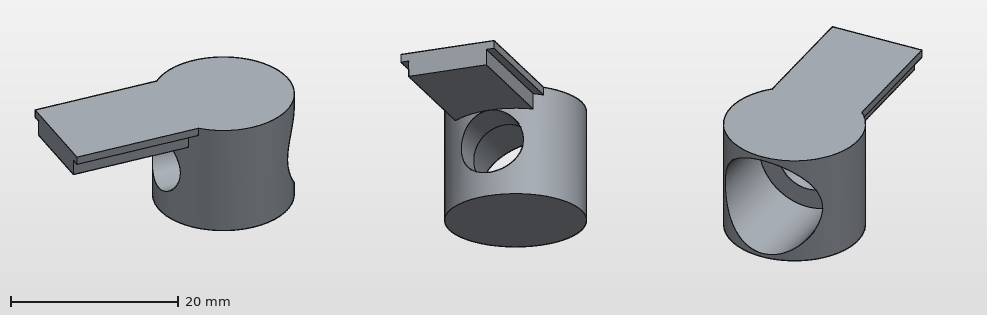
import cadquery as cq

body_diameter = 17.0
body_height = 14.0
overall_length = 30.5

arm_width = 12.0
arm_lip_thickness = 1.0
rib_width = 10.0
arm_depth = 3.0

bore_diameter = 8.0
counterbore_diameter = 13.0
counterbore_depth = 12.0

body_radius = body_diameter / 2
arm_reach = overall_length - body_radius
bore_height = body_height / 2
counterbore_floor_y = body_radius - counterbore_depth


def arm_bar(width, depth):
    """Bar from the body axis to the arm tip, hanging down from the top face."""
    return (
        cq.Workplane("XY", origin=(0, -arm_reach / 2, body_height))
        .rect(width, arm_reach)
        .extrude(-depth)
    )


def bore_cutter(diameter, start_y):
    """Cylinder along Y from start_y to the rear of the body."""
    return (
        cq.Workplane("XZ", origin=(0, start_y, bore_height))
        .circle(diameter / 2)
        .extrude(-(body_radius - start_y))
    )


body = cq.Workplane("XY").circle(body_radius).extrude(body_height)
arm = arm_bar(arm_width, arm_lip_thickness).union(arm_bar(rib_width, arm_depth))

result = (
    body.union(arm)
    .cut(bore_cutter(counterbore_diameter, counterbore_floor_y))
    .cut(bore_cutter(bore_diameter, -body_radius))
)